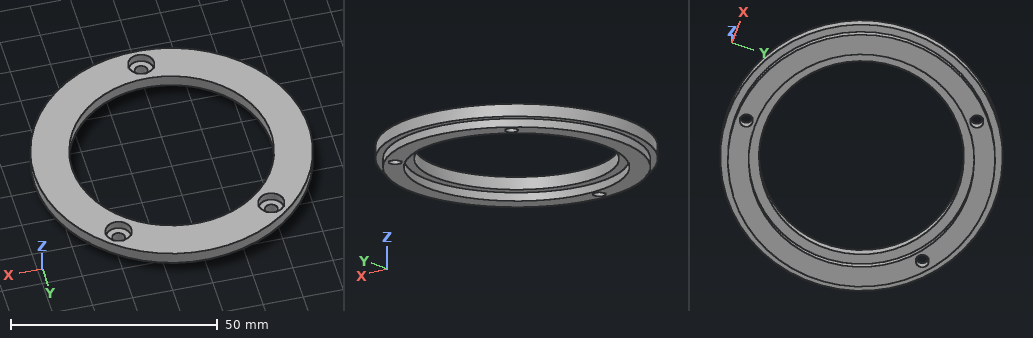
import cadquery as cq

flange_diameter = 68.3
spigot_diameter = 64.6
total_height = 5.3
flange_thickness = 3.2
spigot_height = total_height - flange_thickness

opening_diameter = 49.5
recess_diameter = 54.5

hole_diameter = 3.15
counterbore_diameter = 6.35
counterbore_depth = 2.25
hole_circle_radius = 29.65
hole_angles = (50, 130, 270)


def ring(outer_diameter, inner_diameter, base_z, height):
    """Flat ring around the Z axis, standing on base_z."""
    return (
        cq.Workplane("XY", origin=(0, 0, base_z))
        .circle(outer_diameter / 2)
        .circle(inner_diameter / 2)
        .extrude(height)
    )


def drill_screw_hole(body, angle):
    """Cut one counterbored through hole from the top face."""
    return (
        body.faces(">Z")
        .workplane(origin=(0, 0, total_height))
        .polarArray(hole_circle_radius, angle, 360, 1)
        .cboreHole(hole_diameter, counterbore_diameter, counterbore_depth)
    )


flange = ring(flange_diameter, opening_diameter, spigot_height, flange_thickness)
spigot = ring(spigot_diameter, recess_diameter, 0, spigot_height)
result = flange.union(spigot)

for hole_angle in hole_angles:
    result = drill_screw_hole(result, hole_angle)